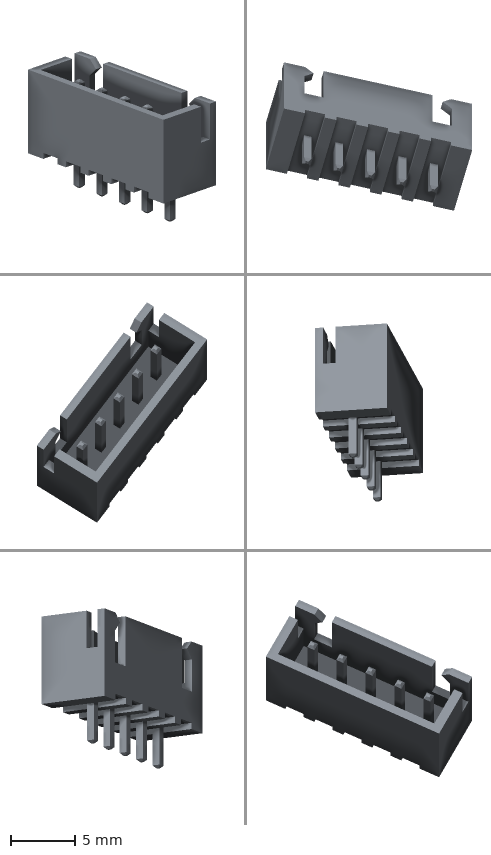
import cadquery as cq

length = 15.16
width = 5.7
height = 7.0
end_wall = 0.75
front_wall = 0.64
back_wall = 0.64
floor_thickness = 1.21

pin_count = 5
pin_row_length = 10.15
pin_pitch = pin_row_length / (pin_count - 1)
pin_side = 0.62
pin_tip_chamfer = 0.2
pin_y = 0.29
pin_bottom = -3.0
pin_top = 6.0

notch_width = 1.6
notch_height = 0.5

end_slot_width = 1.0
end_slot_depth = 3.0

latch_top_length = 1.7
hook_rise = 0.68
hook_undercut = 0.75
gap_depth = 4.0
hook_clearance = 0.82

half_length = length / 2
back_face = width / 2
front_face = -back_face
back_inner = back_face - back_wall
pin_xs = [pin_pitch * (i - (pin_count - 1) / 2) for i in range(pin_count)]


def block(x_min, x_max, y_min, y_max, z_min, z_max):
    size = (x_max - x_min, y_max - y_min, z_max - z_min)
    return cq.Workplane("XY").box(*size, centered=False).translate((x_min, y_min, z_min))


def housing():
    outer = block(-half_length, half_length, front_face, back_face, 0, height)
    cavity = block(
        end_wall - half_length,
        half_length - end_wall,
        front_face + front_wall,
        back_inner,
        floor_thickness,
        height,
    )
    return outer.cut(cavity)


def end_slots():
    slot_bottom = height - end_slot_depth
    slot_front = back_inner - end_slot_width
    left = block(-half_length, end_wall - half_length, slot_front, back_inner, slot_bottom, height)
    return left.union(left.mirror("YZ"))


def latch_gaps():
    """Gaps in the back wall whose outer edge follows the latch hook."""
    top_x = latch_top_length - half_length
    hook_x = top_x + hook_rise
    stem_x = hook_x - hook_undercut
    gap_x = hook_x + hook_clearance
    hook_z = height - hook_rise
    gap_bottom = height - gap_depth
    outline = [
        (top_x, height),
        (hook_x, hook_z),
        (stem_x, hook_z - hook_undercut),
        (stem_x, gap_bottom),
        (gap_x, gap_bottom),
        (gap_x, height),
    ]
    left = cq.Workplane("XZ", origin=(0, back_face, 0)).polyline(outline).close().extrude(back_wall)
    return left.union(left.mirror("YZ"))


def notch(x):
    half = notch_width / 2
    return block(x - half, x + half, front_face, back_face, 0, notch_height)


def pin(x):
    half = pin_side / 2
    bar = block(x - half, x + half, pin_y - half, pin_y + half, pin_bottom, pin_top)
    return bar.faces("<Z or >Z").chamfer(pin_tip_chamfer)


result = housing().cut(end_slots()).cut(latch_gaps())
for x in pin_xs:
    result = result.cut(notch(x))
for x in pin_xs:
    result = result.union(pin(x))